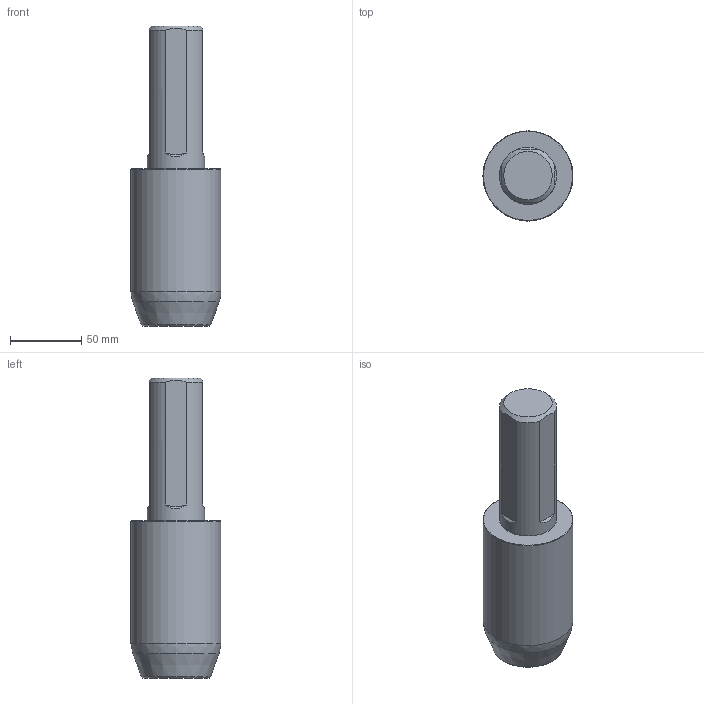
import cadquery as cq
import math

body_diameter = 63.0
body_height = 110.0
nose_height = 17.0
blend_height = 24.0
nose_angle = math.radians(20)
nose_edge_chamfer = 0.8
body_top_chamfer = 0.3

shank_diameter = 39.98
shank_length = 100.0
shank_chamfer = 3.0

flat_count = 4
across_flats = 37.2
flat_start_height = 10.0
run_out_radius = 25.0

body_radius = body_diameter / 2
shank_radius = shank_diameter / 2
total_height = body_height + shank_length


def make_body():
    """Revolve the body: chamfered bottom, nose cone, blend arc, cylinder, chamfered top edge."""
    arc_drop = blend_height - nose_height
    arc_radius = arc_drop / math.sin(nose_angle)
    arc_center_x = body_radius - arc_radius
    arc_end_x = arc_center_x + arc_radius * math.cos(nose_angle)
    arc_mid = (
        arc_center_x + arc_radius * math.cos(nose_angle / 2),
        blend_height - arc_radius * math.sin(nose_angle / 2),
    )
    nose_radius = arc_end_x - (nose_height - nose_edge_chamfer) * math.tan(nose_angle)
    profile = (
        cq.Workplane("XZ")
        .lineTo(nose_radius - nose_edge_chamfer, 0)
        .lineTo(nose_radius, nose_edge_chamfer)
        .lineTo(arc_end_x, nose_height)
        .threePointArc(arc_mid, (body_radius, blend_height))
        .lineTo(body_radius, body_height - body_top_chamfer)
        .lineTo(body_radius - body_top_chamfer, body_height)
        .lineTo(0, body_height)
        .close()
    )
    return profile.revolve(360, (0, 0, 0), (0, 1, 0))


def make_shank():
    """Cylinder on top of the body with a chamfered free end."""
    shank = cq.Workplane("XY").workplane(offset=body_height).circle(shank_radius).extrude(shank_length)
    return shank.faces(">Z").chamfer(shank_chamfer)


def make_flat_cutter():
    """Tool body for one flat on the +X side: a block whose lower end is a round 45 degree run-out."""
    flat_distance = across_flats / 2
    flat_depth = shank_radius - flat_distance
    run_out_center_z = body_height + flat_start_height + run_out_radius
    block = (
        cq.Workplane("XY")
        .box(flat_depth, shank_diameter, total_height - run_out_center_z, centered=(False, True, False))
        .translate((flat_distance, 0, run_out_center_z))
    )
    run_out_cone = cq.Solid.makeCone(
        run_out_radius,
        run_out_radius + flat_depth,
        flat_depth,
        pnt=cq.Vector(flat_distance, 0, run_out_center_z),
        dir=cq.Vector(1, 0, 0),
    )
    return block.union(cq.Workplane(obj=run_out_cone))


result = make_body().union(make_shank())
for index in range(flat_count):
    flat_angle = index * 360 / flat_count
    result = result.cut(make_flat_cutter().rotate((0, 0, 0), (0, 0, 1), flat_angle))